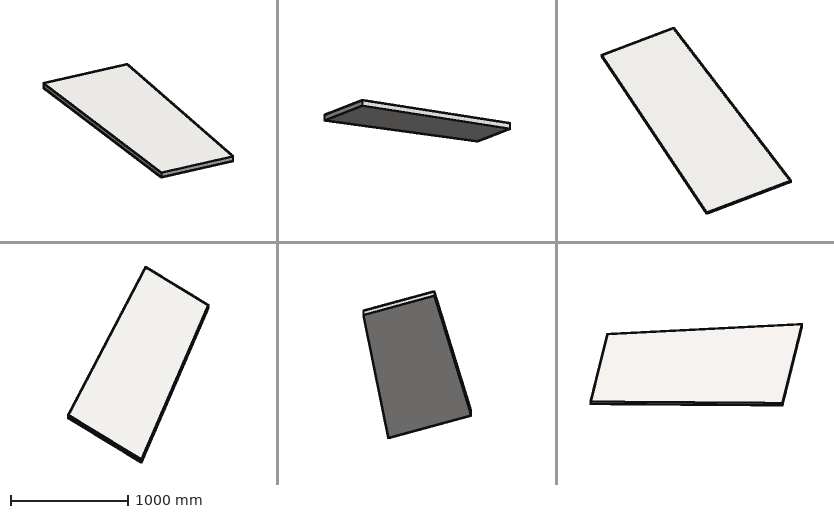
import cadquery as cq

length = 1600.0
depth = 1112.0
thickness = 50.0

left_end = 770.0
right_end = 660.0

outline = [
    (0, 0),
    (length, depth - right_end),
    (length, depth),
    (0, left_end),
]

result = cq.Workplane("XY").polyline(outline).close().extrude(thickness)